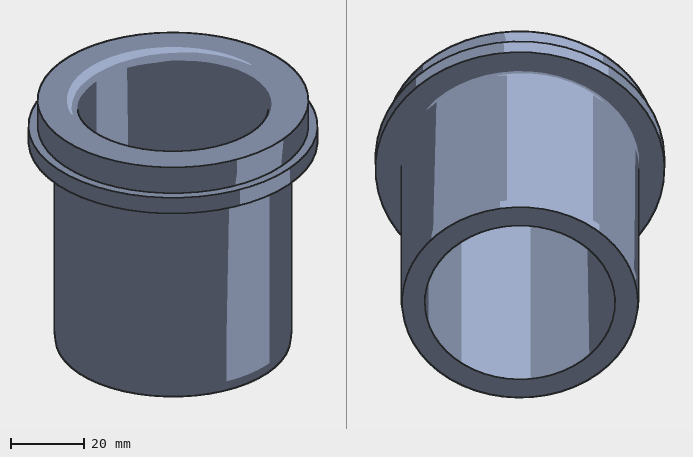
import cadquery as cq

total_height = 75.0
flange_diameter = 79.0
flange_thickness = 5.0
collar_diameter = 74.0
collar_height = 8.1
body_diameter = 65.0
bore_diameter = 52.0
mouth_radius = 3.0
neck_radius = 0.8
lead_in_height = 3.0
lead_in_depth = 0.3

flange_radius = flange_diameter / 2
collar_radius = collar_diameter / 2
body_radius = body_diameter / 2
bore_radius = bore_diameter / 2
flange_top = total_height - collar_height
flange_bottom = flange_top - flange_thickness

section = (
    cq.Workplane("XZ")
    .moveTo(bore_radius, 0)
    .lineTo(body_radius - lead_in_depth, 0)
    .lineTo(body_radius, lead_in_height)
    .lineTo(body_radius, flange_bottom - neck_radius)
    .radiusArc((body_radius + neck_radius, flange_bottom), neck_radius)
    .lineTo(flange_radius, flange_bottom)
    .lineTo(flange_radius, flange_top)
    .lineTo(collar_radius, flange_top)
    .lineTo(collar_radius, total_height)
    .lineTo(bore_radius + mouth_radius, total_height)
    .radiusArc((bore_radius, total_height - mouth_radius), -mouth_radius)
    .close()
)

result = section.revolve(360, (0, 0, 0), (0, 1, 0))